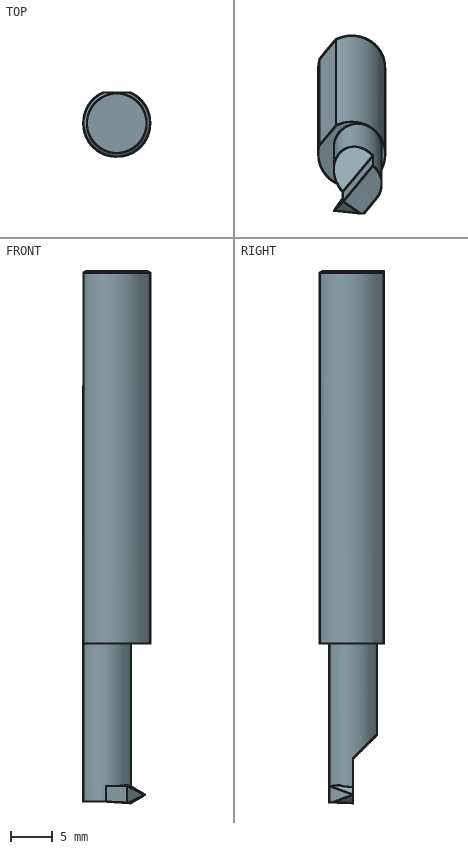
import cadquery as cq
import math

total_length = 63.5

shank_radius = 4.0
shank_length = 44.45
flat_distance = 3.7
chamfer_height = 0.25
chamfer_inset = 0.45

neck_radius = 2.85
neck_bottom = 0.2
neck_x = neck_radius - shank_radius
shoulder_z = total_length - shank_length

relief_start_z = 5.35

tip_x = 3.35
tip_z = 1.0
tooth_left_x = -1.3
tooth_front_corner_x = 1.2
tip_half_angle = 30.0
rake_top_z = 2.35
front_top_z = 2.05
front_tip_inset = 0.3



def make_shank():
    """Cylinder with a chamfered top end and a full-length flat."""
    section = (
        cq.Workplane("XZ")
        .moveTo(0, shoulder_z)
        .lineTo(shank_radius, shoulder_z)
        .lineTo(shank_radius, total_length - chamfer_height)
        .lineTo(shank_radius - chamfer_inset, total_length)
        .lineTo(0, total_length)
        .close()
    )
    shank = section.revolve(360, (0, 0), (0, 1))
    flat_cutter = cq.Workplane("XY").box(
        2 * shank_radius, shank_radius, total_length, centered=(True, False, False)
    )
    return shank.cut(flat_cutter.translate((0, flat_distance, 0)))


def make_neck():
    """Eccentric cylinder, halved at its lower end with a 45 degree run-out."""
    neck = (
        cq.Workplane("XY", origin=(neck_x, 0, neck_bottom))
        .circle(neck_radius)
        .extrude(shoulder_z - neck_bottom)
    )
    cut_depth = 2 * neck_radius
    relief = (
        cq.Workplane("YZ", origin=(neck_x, 0, 0))
        .polyline([(0, 0), (cut_depth, 0), (cut_depth, relief_start_z + cut_depth), (0, relief_start_z)])
        .close()
        .extrude(neck_radius, both=True)
    )
    return neck.cut(relief)


def tooth_profile(point_x, bottom_z, top_z):
    """XZ corners of the tooth: a V point on a body that starts inside the neck."""
    flank_slope = math.tan(math.radians(tip_half_angle))
    return [
        (tooth_left_x, neck_bottom),
        (point_x - (tip_z - bottom_z) / flank_slope, bottom_z),
        (point_x, tip_z),
        (point_x - (top_z - tip_z) / flank_slope, top_z),
        (tooth_left_x, top_z),
    ]


def make_tooth():
    """V-shaped tooth behind the rake face, with side and end clearance."""
    tooth = (
        cq.Workplane("XZ")
        .polyline(tooth_profile(tip_x, 0, rake_top_z))
        .close()
        .workplane(offset=neck_radius)
        .polyline(tooth_profile(tip_x - front_tip_inset, neck_bottom / 2, front_top_z))
        .close()
        .loft(ruled=True)
    )
    end_clearance = (
        cq.Workplane("XY")
        .polyline([(tip_x, 0), (tip_x, -neck_radius), (tooth_front_corner_x, -neck_radius)])
        .close()
        .extrude(rake_top_z)
    )
    return tooth.cut(end_clearance)


result = make_shank().union(make_neck()).union(make_tooth())